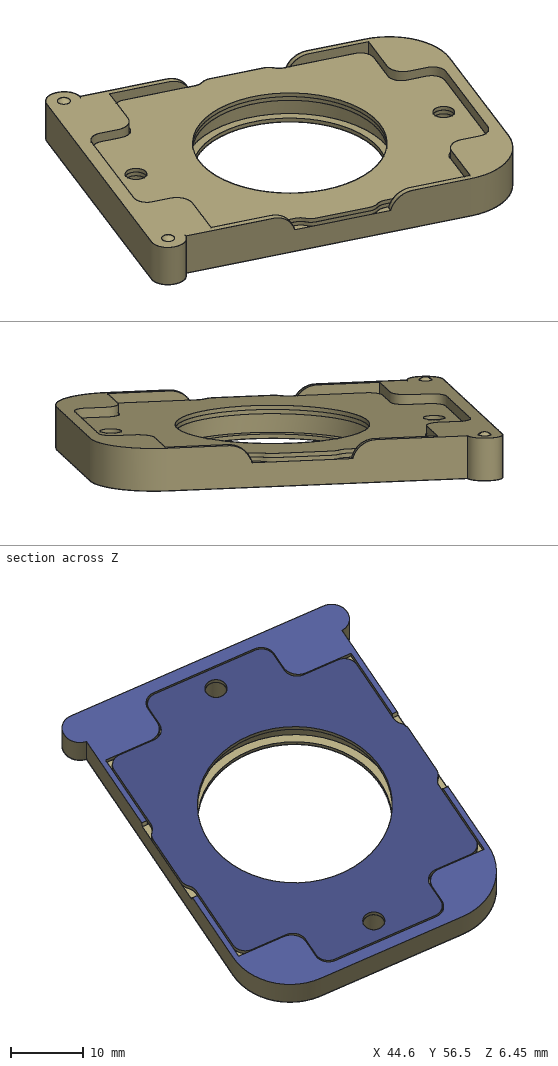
import cadquery as cq
import math

TOTAL_LENGTH = 56.45
TOTAL_WIDTH = 44.6
HOUSING_WIDTH = 40.3
HOUSING_HEIGHT = 6.05
REAR_CORNER_RADIUS = 9.0
EAR_LENGTH = 5.0
EAR_CORNER_RADIUS = 2.4
FRONT_EDGE_TO_BORE = 28.35

TOTAL_HEIGHT = 6.45
DOME_RADIUS = 0.9
DOME_SPACING = 39.6

POCKET_FLOOR = 3.5
POCKET_WIDTH = 38.6
POCKET_LENGTH = 38.5
ARM_WIDTH = 19.8
ARM_SPAN = 52.6
CORNER_RADIUS = 2.0
POCKET_INNER_RADIUS = 2.35

NOTCH_FLOOR_LENGTH = 14.2
NOTCH_LIP_RADIUS = 3.4

BORE_DIAMETER = 26.9
RECESS_DIAMETER = 29.4
LEDGE_THICKNESS = 0.6
SMALL_HOLE_DIAMETER = 3.0
SMALL_HOLE_SPACING = 45.7

PLATE_COUNT = 2
PLATE_STACK_HEIGHT = 1.2
PLATE_THICKNESS = PLATE_STACK_HEIGHT / PLATE_COUNT
PLATE_END_GAP = 0.15
PLATE_SIDE_GAP = 0.05
TAB_FLAT_LENGTH = 8.0
TAB_CURVE_RADIUS = CORNER_RADIUS

FRONT_Y = -FRONT_EDGE_TO_BORE
REAR_Y = FRONT_Y + TOTAL_LENGTH
EAR_Y = FRONT_Y + EAR_LENGTH / 2
SMALL_HOLE_CENTRES = [(0, -SMALL_HOLE_SPACING / 2), (0, SMALL_HOLE_SPACING / 2)]
DOME_CENTRES = [(-DOME_SPACING / 2, EAR_Y), (DOME_SPACING / 2, EAR_Y)]


def box(width, length, height, base_z):
    """Box centred on the bore axis, standing on base_z."""
    return cq.Workplane("XY").workplane(offset=base_z).rect(width, length).extrude(height)


def cylinders(diameter, centres, height, base_z):
    """Upright cylinders at the given centres, standing on base_z."""
    base = cq.Workplane("XY").workplane(offset=base_z)
    return base.pushPoints(centres).circle(diameter / 2).extrude(height)


def cross(body_width, body_length, arm_width, arm_span, inner_radius, height, base_z):
    """Plus-shaped prism with rounded arm tips and rounded inner corners."""
    tips = box(arm_width, arm_span, height, base_z).edges("|Z").fillet(CORNER_RADIUS)
    prism = box(body_width, body_length, height, base_z).union(tips)
    margin = CORNER_RADIUS / 2
    inner_corners = cq.selectors.BoxSelector(
        (-arm_width / 2 - margin, -body_length / 2 - margin, base_z - margin),
        (arm_width / 2 + margin, body_length / 2 + margin, base_z + height + margin),
    )
    return prism.edges("|Z").edges(inner_corners).fillet(inner_radius)


def front_bar():
    """Square-cornered bar across the front, as long in Y as the ears at its ends."""
    return cq.Workplane("XY").center(0, EAR_Y).rect(TOTAL_WIDTH, EAR_LENGTH).extrude(HOUSING_HEIGHT)


def housing_blank():
    """Block with two large rear corners and a rounded ear beyond each front corner."""
    block = (
        cq.Workplane("XY")
        .center(0, (FRONT_Y + REAR_Y) / 2)
        .rect(HOUSING_WIDTH, TOTAL_LENGTH)
        .extrude(HOUSING_HEIGHT)
        .edges("|Z and >Y")
        .fillet(REAR_CORNER_RADIUS)
    )
    return block.cut(front_bar()).union(front_bar().edges("|Z").fillet(EAR_CORNER_RADIUS))


def dome(centre):
    """Spherical cap on top of an ear."""
    rise = TOTAL_HEIGHT - HOUSING_HEIGHT
    sphere_radius = (DOME_RADIUS**2 + rise**2) / (2 * rise)
    x, y = centre
    ball = cq.Workplane("XY").sphere(sphere_radius).translate((x, y, TOTAL_HEIGHT - sphere_radius))
    cap_region = cylinders(2 * DOME_RADIUS, [centre], TOTAL_HEIGHT, 0)
    return ball.intersect(cap_region)


def side_notches():
    """Cutter across the housing whose ends flare outward in arcs tangent to the top face."""
    depth = HOUSING_HEIGHT - POCKET_FLOOR
    floor_half = NOTCH_FLOOR_LENGTH / 2
    arc_centre_z = HOUSING_HEIGHT - NOTCH_LIP_RADIUS
    arc_centre_y = floor_half + math.sqrt(NOTCH_LIP_RADIUS**2 - (NOTCH_LIP_RADIUS - depth) ** 2)
    middle_angle = (math.pi / 2 + math.acos((floor_half - arc_centre_y) / NOTCH_LIP_RADIUS)) / 2
    middle_y = arc_centre_y + NOTCH_LIP_RADIUS * math.cos(middle_angle)
    middle_z = arc_centre_z + NOTCH_LIP_RADIUS * math.sin(middle_angle)
    return (
        cq.Workplane("YZ")
        .moveTo(-floor_half, POCKET_FLOOR)
        .lineTo(floor_half, POCKET_FLOOR)
        .threePointArc((middle_y, middle_z), (arc_centre_y, HOUSING_HEIGHT))
        .lineTo(-arc_centre_y, HOUSING_HEIGHT)
        .threePointArc((-middle_y, middle_z), (-floor_half, POCKET_FLOOR))
        .close()
        .extrude(HOUSING_WIDTH / 2, both=True)
    )


def make_housing():
    """Housing with its pocket, notches, ledged bore, small holes and domes."""
    pocket_depth = HOUSING_HEIGHT - POCKET_FLOOR
    pocket = cross(
        POCKET_WIDTH,
        POCKET_LENGTH,
        ARM_WIDTH,
        ARM_SPAN,
        POCKET_INNER_RADIUS,
        pocket_depth,
        POCKET_FLOOR,
    )
    housing = housing_blank().cut(pocket).cut(side_notches())
    housing = housing.cut(cylinders(BORE_DIAMETER, [(0, 0)], HOUSING_HEIGHT, 0))
    housing = housing.cut(cylinders(RECESS_DIAMETER, [(0, 0)], HOUSING_HEIGHT, LEDGE_THICKNESS))
    housing = housing.cut(cylinders(SMALL_HOLE_DIAMETER, SMALL_HOLE_CENTRES, HOUSING_HEIGHT, 0))
    for centre in DOME_CENTRES:
        housing = housing.union(dome(centre))
    return housing


def plate_tabs(body_width, base_z):
    """Strip reaching both side faces, blending into the plate edge with S-curves of two equal arcs."""
    root_x = body_width / 2
    tip_x = HOUSING_WIDTH / 2
    half_step = (tip_x - root_x) / 2
    sweep = math.acos(1 - half_step / TAB_CURVE_RADIUS)
    arc_rise = TAB_CURVE_RADIUS * math.sin(sweep)
    mid_step = TAB_CURVE_RADIUS * (1 - math.cos(sweep / 2))
    mid_rise = TAB_CURVE_RADIUS * math.sin(sweep / 2)
    flat_y = TAB_FLAT_LENGTH / 2
    bend_x = root_x + half_step
    bend_y = flat_y + arc_rise
    root_y = bend_y + arc_rise
    tip_arc = (tip_x - mid_step, flat_y + mid_rise)
    root_arc = (root_x + mid_step, root_y - mid_rise)
    half = (
        cq.Workplane("XY")
        .workplane(offset=base_z)
        .moveTo(0, -root_y)
        .lineTo(root_x, -root_y)
        .threePointArc((root_arc[0], -root_arc[1]), (bend_x, -bend_y))
        .threePointArc((tip_arc[0], -tip_arc[1]), (tip_x, -flat_y))
        .lineTo(tip_x, flat_y)
        .threePointArc(tip_arc, (bend_x, bend_y))
        .threePointArc(root_arc, (root_x, root_y))
        .lineTo(0, root_y)
        .close()
        .extrude(PLATE_THICKNESS)
    )
    return half.union(half.mirror("YZ"))


def make_plate(base_z):
    """Cross-shaped plate with side tabs, lying on base_z with clearance to the pocket walls."""
    body_width = POCKET_WIDTH - 2 * PLATE_END_GAP
    plate = cross(
        body_width,
        POCKET_LENGTH - 2 * PLATE_SIDE_GAP,
        ARM_WIDTH - 2 * PLATE_SIDE_GAP,
        ARM_SPAN - 2 * PLATE_END_GAP,
        CORNER_RADIUS,
        PLATE_THICKNESS,
        base_z,
    )
    plate = plate.edges("|Z and (<X or >X)").fillet(CORNER_RADIUS)
    plate = plate.union(plate_tabs(body_width, base_z))
    plate = plate.cut(cylinders(BORE_DIAMETER, [(0, 0)], PLATE_THICKNESS, base_z))
    return plate.cut(cylinders(SMALL_HOLE_DIAMETER, SMALL_HOLE_CENTRES, PLATE_THICKNESS, base_z))


housing = make_housing()
plates = [make_plate(POCKET_FLOOR + level * PLATE_THICKNESS) for level in range(PLATE_COUNT)]

result = cq.Compound.makeCompound([housing.val(), *[plate.val() for plate in plates]])